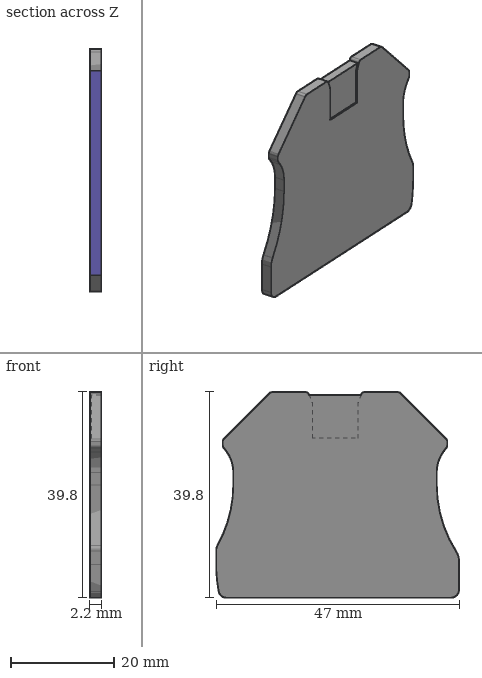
import cadquery as cq
import math

thickness = 2.2
width = 47.0
height = 39.8

axis_y = -0.495
top_half_width = 12.45
lip_half_width = 21.7
waist_half_width = 19.7
lip_bottom_z = 29.25
lip_top_z = height - (lip_half_width - top_half_width)

waist_bottom_z = 21.85
waist_top_z = 24.3
lower_flank_radius = 23.95
upper_flank_radius = 6.75
upper_flank_top_z = 28.25
upper_flank_rise = upper_flank_top_z - waist_top_z

foot_flat_z = 6.5
foot_inset = 0.75
foot_curve_radius = foot_flat_z**2 / (2 * foot_inset)

top_round = 0.95
lip_round = 0.65
left_shoulder_round = 3.3
right_shoulder_round = 2.35
foot_round = 1.6

notch_half_width = 4.4
notch_bottom_z = 30.93
notch_depth = 0.3
flare_start_z = 37.8
flare_slope = 0.4
mouth_round = 0.6
web_top_z = 39.25
mouth_half_width = notch_half_width + flare_slope * (height - flare_start_z)


def arc_offset(radius, distance):
    """Sideways departure of an arc from its tangent after a distance along the tangent."""
    return radius - math.sqrt(radius**2 - distance**2)


upper_flank_half_width = waist_half_width + arc_offset(upper_flank_radius, upper_flank_rise)


def flank_drop(side_y):
    """Height lost along the lower flank between the waist and the foot side."""
    outward = abs(side_y - axis_y) - waist_half_width
    return math.sqrt(lower_flank_radius**2 - (lower_flank_radius - outward) ** 2)


def head_point(side, half_width, z):
    return (axis_y + side * half_width, z)


def flank_middle(side, radius, rise, start_z):
    """Point halfway along a flank arc that starts at the waist."""
    middle_rise = rise / 2
    return head_point(side, waist_half_width + arc_offset(radius, abs(middle_rise)), start_z + middle_rise)


left_y = width / 2
right_y = -width / 2
left_drop = flank_drop(left_y)
right_drop = flank_drop(right_y)
left_shoulder = (left_y, waist_bottom_z - left_drop)
right_shoulder = (right_y, waist_bottom_z - right_drop)
foot_corner = (right_y + arc_offset(foot_curve_radius, foot_flat_z), 0)
foot_middle = (right_y + arc_offset(foot_curve_radius, foot_flat_z / 2), foot_flat_z / 2)


def round_edge(body, point, radius):
    """Round the edge along X that passes through a (Y, Z) point."""
    nearest = cq.selectors.NearestToPointSelector((thickness / 2, *point))
    return body.edges("|X").edges(nearest).fillet(radius)


def make_plate():
    plate = (
        cq.Workplane("YZ")
        .moveTo(left_y, 0)
        .lineTo(*left_shoulder)
        .threePointArc(
            flank_middle(1, lower_flank_radius, -left_drop, waist_bottom_z),
            head_point(1, waist_half_width, waist_bottom_z),
        )
        .lineTo(*head_point(1, waist_half_width, waist_top_z))
        .threePointArc(
            flank_middle(1, upper_flank_radius, upper_flank_rise, waist_top_z),
            head_point(1, upper_flank_half_width, upper_flank_top_z),
        )
        .lineTo(*head_point(1, lip_half_width, lip_bottom_z))
        .lineTo(*head_point(1, lip_half_width, lip_top_z))
        .lineTo(*head_point(1, top_half_width, height))
        .lineTo(*head_point(-1, top_half_width, height))
        .lineTo(*head_point(-1, lip_half_width, lip_top_z))
        .lineTo(*head_point(-1, lip_half_width, lip_bottom_z))
        .lineTo(*head_point(-1, upper_flank_half_width, upper_flank_top_z))
        .threePointArc(
            flank_middle(-1, upper_flank_radius, upper_flank_rise, waist_top_z),
            head_point(-1, waist_half_width, waist_top_z),
        )
        .lineTo(*head_point(-1, waist_half_width, waist_bottom_z))
        .threePointArc(
            flank_middle(-1, lower_flank_radius, -right_drop, waist_bottom_z),
            right_shoulder,
        )
        .lineTo(right_y, foot_flat_z)
        .threePointArc(foot_middle, foot_corner)
        .close()
        .extrude(thickness)
    )
    for side in (1, -1):
        plate = round_edge(plate, head_point(side, top_half_width, height), top_round)
        plate = round_edge(plate, head_point(side, lip_half_width, lip_top_z), lip_round)
        plate = round_edge(plate, head_point(side, lip_half_width, lip_bottom_z), lip_round)
    plate = round_edge(plate, left_shoulder, left_shoulder_round)
    plate = round_edge(plate, right_shoulder, right_shoulder_round)
    plate = round_edge(plate, (left_y, 0), foot_round)
    return round_edge(plate, foot_corner, foot_round)


def cut_notch(plate):
    """Cut the mouth through the plate down to the web, then recess the -X face."""
    opening = (
        cq.Workplane("YZ")
        .polyline([
            head_point(1, notch_half_width, notch_bottom_z),
            head_point(1, notch_half_width, flare_start_z),
            head_point(1, mouth_half_width, height),
            head_point(-1, mouth_half_width, height),
            head_point(-1, notch_half_width, flare_start_z),
            head_point(-1, notch_half_width, notch_bottom_z),
        ])
        .close()
        .extrude(thickness)
    )
    notched = plate.cut(opening)
    for side in (1, -1):
        notched = round_edge(notched, head_point(side, mouth_half_width, height), mouth_round)

    web_width = 2 * mouth_half_width
    web_height = web_top_z - notch_bottom_z
    web = (
        cq.Workplane("XY")
        .box(thickness - notch_depth, web_width, web_height, centered=(False, True, False))
        .translate((notch_depth, axis_y, notch_bottom_z))
        .intersect(plate)
    )
    return notched.union(web)


result = cut_notch(make_plate())